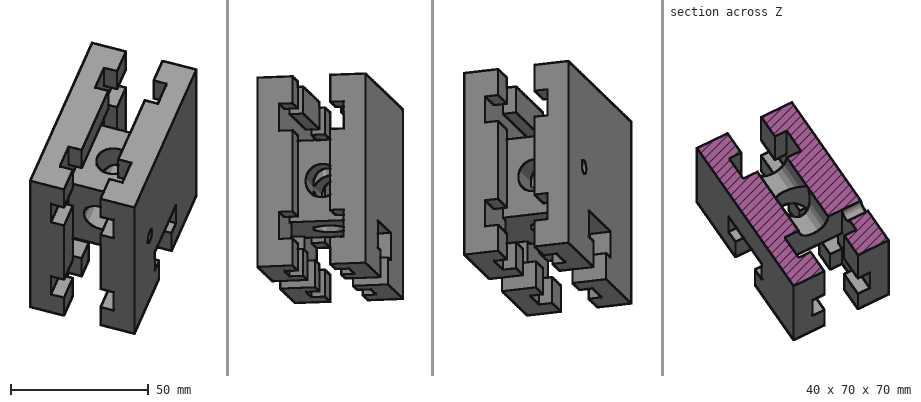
import cadquery as cq

width = 40.0
depth = 70.0
height = 70.0

neck_width = 14.0
neck_depth = 10.0
head_width = 24.0
head_depth = 10.0
slot_depth = neck_depth + head_depth

bore_diameter = 12.25

side_hole_diameter = 5.0
side_hole_y = -(depth / 2 - slot_depth) - side_hole_diameter / 2


def bottom_t_slot(length, face_distance):
    """T-slot along Y, opening downward through a face at z = -face_distance."""
    neck = cq.Workplane("XY").box(neck_width, length, slot_depth, centered=(True, True, False))
    head = cq.Workplane("XY").box(head_width, length, head_depth, centered=(True, True, False))
    head = head.translate((0, 0, neck_depth))
    return neck.union(head).translate((0, 0, -face_distance))


def turned(shape, axis, angle):
    """Shape rotated about an axis through the block centre."""
    return shape.rotate((0, 0, 0), axis, angle)


def bore(plane, length):
    """Round bore through the block centre, normal to the given plane."""
    return cq.Workplane(plane).circle(bore_diameter / 2).extrude(length / 2, both=True)


def side_hole():
    """Round hole along X at mid-height, through the wall between the front slot and the +X side."""
    wall_thickness = (width - head_width) / 2
    slot_wall = cq.Workplane("YZ").workplane(offset=head_width / 2)
    return slot_wall.center(side_hole_y, 0).circle(side_hole_diameter / 2).extrude(wall_thickness)


x_axis = (1, 0, 0)
z_axis = (0, 0, 1)

result = cq.Workplane("XY").box(width, depth, height)

for angle in (0, 180):
    result = result.cut(turned(bottom_t_slot(depth, height / 2), x_axis, angle))

for angle in (90, -90):
    result = result.cut(turned(bottom_t_slot(height, depth / 2), x_axis, angle))

result = result.cut(turned(bottom_t_slot(width, height / 2), z_axis, 90))

result = result.cut(bore("XZ", depth))
result = result.cut(bore("XY", height))

result = result.cut(side_hole())